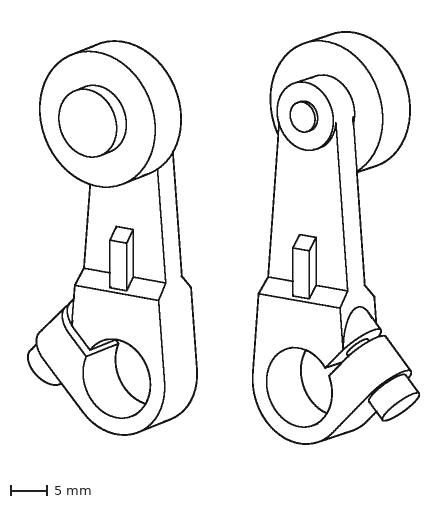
import cadquery as cq
import math

roller_height = 38.05
clamp_radius = 7.95
arm_end_radius = 4.7
bore_radius = 5.55
clamp_thickness = 8.0
plate_thickness = 4.0
step_start = 12.2

rib_width = 2.8
rib_thickness = 7.15
rib_top = 21.0

roller_radius = 9.55
roller_front = -8.7
roller_back = -2.35
pin_radius = 4.8
pin_front = -11.1
pin_back = 2.6
pin_tip_radius = 2.1
pin_tip_back = 3.2

slit_angle = 135.0
screw_out = 9.1
slit_low = -1.9
slit_high = -0.7
slit_inner = 2.8
boss_top = 4.45
shank_radius = 1.8
head_radius = 3.1
head_end = -11.15

half_clamp = clamp_thickness / 2
half_plate = plate_thickness / 2
half_rib = rib_thickness / 2
boss_radius = half_clamp


def cylinder_y(radius, front, back, height=0):
    """Cylinder parallel to Y, centred on X = 0 at the given height."""
    return cq.Workplane("XZ", origin=(0, front, height)).circle(radius).extrude(front - back)


def arm_blank():
    """Tapered outline tangent to the clamp and end circles, at full clamp thickness."""
    taper = math.asin((clamp_radius - arm_end_radius) / roller_height)

    def tangent_point(radius, height, side):
        return (side * radius * math.cos(taper), height + radius * math.sin(taper))

    return (
        cq.Workplane("XZ")
        .moveTo(*tangent_point(clamp_radius, 0, 1))
        .lineTo(*tangent_point(arm_end_radius, roller_height, 1))
        .threePointArc((0, roller_height + arm_end_radius), tangent_point(arm_end_radius, roller_height, -1))
        .lineTo(*tangent_point(clamp_radius, 0, -1))
        .threePointArc((0, -clamp_radius), tangent_point(clamp_radius, 0, 1))
        .close()
        .extrude(half_clamp, both=True)
    )


def side_profile():
    """Thickness profile with 45 degree steps from the clamp down to the plate."""
    step_end = step_start + half_clamp - half_plate
    top = roller_height + roller_radius
    points = [
        (half_clamp, -clamp_radius),
        (half_clamp, step_start),
        (half_plate, step_end),
        (half_plate, top),
    ]
    mirrored = [(-y, z) for y, z in reversed(points)]
    return cq.Workplane("YZ").polyline(points + mirrored).close().extrude(clamp_radius, both=True)


def ribs():
    """Rib through the plate, with 45 degree tops on both faces."""
    shoulder = rib_top - (half_rib - half_plate)
    points = [
        (half_rib, step_start),
        (half_rib, shoulder),
        (half_plate, rib_top),
    ]
    mirrored = [(-y, z) for y, z in reversed(points)]
    return cq.Workplane("YZ").polyline(points + mirrored).close().extrude(rib_width / 2, both=True)


def clamp_plane():
    """Plane through the bore centre: local X along the slit, local Z along the screw axis."""
    angle = math.radians(slit_angle)
    outward = (math.cos(angle), 0, math.sin(angle))
    screw_axis = (math.sin(angle), 0, -math.cos(angle))
    return cq.Plane(origin=(0, 0, 0), xDir=outward, normal=screw_axis)


def slit_block(out_start, out_end, along_start, along_end):
    """Block of clamp thickness, square to the slit."""
    return (
        cq.Workplane(clamp_plane())
        .workplane(offset=along_start)
        .center((out_start + out_end) / 2, 0)
        .rect(out_end - out_start, clamp_thickness)
        .extrude(along_end - along_start)
    )


def screw_cylinder(radius, along_start, along_end):
    """Cylinder on the clamp screw axis."""
    return (
        cq.Workplane(clamp_plane())
        .workplane(offset=along_start)
        .center(screw_out, 0)
        .circle(radius)
        .extrude(along_end - along_start)
    )


arm = arm_blank().intersect(side_profile()).union(ribs())
arm = arm.union(slit_block(0, screw_out, -clamp_radius, slit_low))
arm = arm.union(screw_cylinder(boss_radius, -clamp_radius, boss_top))

arm = arm.cut(cylinder_y(bore_radius, -half_clamp, half_clamp))
arm = arm.cut(slit_block(slit_inner, screw_out + boss_radius, slit_low, slit_high))

arm = arm.union(screw_cylinder(shank_radius, -clamp_radius, boss_top))
arm = arm.union(screw_cylinder(head_radius, head_end, -clamp_radius))

result = (
    arm.union(cylinder_y(pin_radius, pin_front, pin_back, roller_height))
    .union(cylinder_y(pin_tip_radius, pin_back, pin_tip_back, roller_height))
    .union(cylinder_y(roller_radius, roller_front, roller_back, roller_height))
)